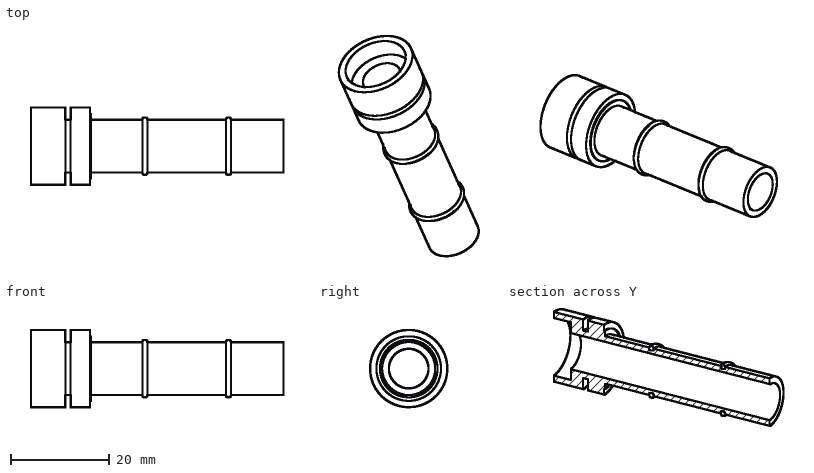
import cadquery as cq

TOTAL_LENGTH = 51.4
HEAD_DIAMETER = 15.8
HEAD_RADIUS = HEAD_DIAMETER / 2
SHANK_RADIUS = 5.4
BORE_RADIUS = 4.0

HEAD_LENGTH = 7.0
GROOVE_WIDTH = 1.1
FLANGE_LENGTH = 3.95
SHOULDER_RADIUS = 6.6
SHOULDER_LENGTH = 0.15

SOCKET_RADIUS = 6.4
SOCKET_DEPTH = 4.0

RING_SECTION = 1.05
RING_CORNER_RADIUS = 0.4
RING_CENTRE_RADIUS = 5.35
FIRST_RING_X = 23.2
RING_SPACING = 17.0
RING_POSITIONS = [FIRST_RING_X, FIRST_RING_X + RING_SPACING]

FLANGE_START = HEAD_LENGTH + GROOVE_WIDTH
FLANGE_END = FLANGE_START + FLANGE_LENGTH


def cylinder(start_x, length, radius):
    """Cylinder along X, beginning at start_x."""
    return cq.Workplane("YZ", origin=(start_x, 0, 0)).circle(radius).extrude(length)


def make_o_ring(centre_x):
    """Ring of rounded square section around the X axis."""
    axis_start = (-0.5, -RING_CENTRE_RADIUS)
    axis_end = (0.5, -RING_CENTRE_RADIUS)
    return (
        cq.Workplane("XY", origin=(centre_x, RING_CENTRE_RADIUS, 0))
        .rect(RING_SECTION, RING_SECTION)
        .revolve(360, axis_start, axis_end)
        .edges("%CIRCLE")
        .fillet(RING_CORNER_RADIUS)
    )


def make_tube(o_rings):
    """Hollow shank with a grooved head, a socket and seats for the O-rings."""
    tube = cylinder(0, TOTAL_LENGTH, SHANK_RADIUS)
    tube = tube.union(cylinder(FLANGE_START, FLANGE_LENGTH, HEAD_RADIUS))
    tube = tube.union(cylinder(FLANGE_END, SHOULDER_LENGTH, SHOULDER_RADIUS))
    tube = tube.union(cylinder(0, HEAD_LENGTH, HEAD_RADIUS))
    tube = tube.cut(cylinder(0, TOTAL_LENGTH, BORE_RADIUS))
    tube = tube.cut(cylinder(0, SOCKET_DEPTH, SOCKET_RADIUS))
    for o_ring in o_rings:
        tube = tube.cut(o_ring)
    return tube


o_rings = [make_o_ring(x) for x in RING_POSITIONS]
tube = make_tube(o_rings)

result = cq.Compound.makeCompound([tube.val(), *[o_ring.val() for o_ring in o_rings]])